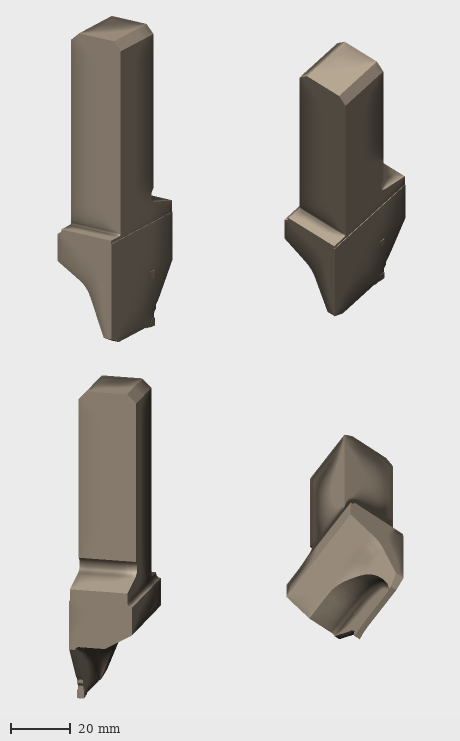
import cadquery as cq
import math

total_height = 107.5
head_length = 37.3
shank_size = 20.0
shank_left = 1.6
shank_front = 5.9
shank_right = shank_left + shank_size
shank_back = shank_front + shank_size
top_chamfer_height = 3.0
top_chamfer_left = 3.2
top_chamfer_right = 2.8

blade_outer_face = 21.8
blade_bottom = 0.8
shoulder_z = 38.4
shoulder_fillet = 0.6
right_step_z = 37.2
groove_radius = 1.6
groove_top_z = 38.1
groove_lip_width = 0.5
head_left_top_z = 36.4
head_lower_z = 26.8
underside_angle = 30.0
flank_angle = 22.0
flank_foot_x = 19.9
underside_blend = 10.0

back_corner_top_z = 41.3
notch_start_z = 49.1
notch_deepest = (24.6, 46.8)
notch_end = (26.9, 44.0)
back_corner_low_z = 20.2
back_bevel = (28.8, 8.7)
front_bevel_length = 4.3
front_bevel_top_z = 3.0

scoop_radius = 21.2
scoop_center_z = 0.1
scoop_fillet = 1.5
blade_inner_face = 19.9

insert_height = 19.9
insert_front = 21.5
insert_back = shank_back
end_relief = 0.3
tab_depth = 1.1
tab_root_half = 5.5
tab_tip_half = 4.3
tip_height = 2.9
tip_flat = 1.5
tip_width = 2.5
tip_right_overhang = 0.3
tip_left_overhang = 0.1


def head_profile():
    """Shank and head outline in XZ, extruded over the whole length in Y."""
    underside_slope = math.tan(math.radians(underside_angle))
    flank_slope = math.tan(math.radians(flank_angle))
    meet_z = (head_lower_z - underside_slope * flank_foot_x) / (1 - underside_slope * flank_slope)
    meet_x = flank_foot_x - flank_slope * meet_z
    groove_center_x = shank_left - groove_radius
    groove_sweep = math.acos((groove_lip_width - groove_center_x) / groove_radius)
    lip_z = groove_top_z - groove_radius * math.sin(groove_sweep)
    groove_middle = (
        groove_center_x + groove_radius * math.cos(groove_sweep / 2),
        groove_top_z - groove_radius * math.sin(groove_sweep / 2),
    )
    bottom_x = flank_foot_x - flank_slope * blade_bottom
    body = (
        cq.Workplane("XZ")
        .moveTo(shank_left + top_chamfer_left, total_height)
        .lineTo(shank_right - top_chamfer_right, total_height)
        .lineTo(shank_right, total_height - top_chamfer_height)
        .lineTo(shank_right, right_step_z)
        .lineTo(blade_outer_face, right_step_z)
        .lineTo(blade_outer_face, blade_bottom)
        .lineTo(bottom_x, blade_bottom)
        .lineTo(meet_x, meet_z)
        .lineTo(0, head_lower_z)
        .lineTo(0, head_left_top_z)
        .lineTo(groove_lip_width, lip_z)
        .threePointArc(groove_middle, (shank_left, groove_top_z))
        .lineTo(shank_left, total_height - top_chamfer_height)
        .close()
        .extrude(-head_length)
    )
    meeting_edge = cq.selectors.NearestToPointSelector((meet_x, head_length / 2, meet_z))
    return body.edges(meeting_edge).fillet(underside_blend)


def side_profile():
    """Shank and head outline in YZ, extruded over the whole width in X."""
    bevel_y, bevel_z = back_bevel
    fillet_shift = shoulder_fillet * (1 - math.sqrt(0.5))
    return (
        cq.Workplane("YZ")
        .moveTo(shank_front, total_height)
        .lineTo(shank_back, total_height)
        .lineTo(shank_back, notch_start_z)
        .threePointArc(notch_deepest, notch_end)
        .lineTo(head_length, back_corner_top_z)
        .lineTo(head_length, back_corner_low_z)
        .lineTo(bevel_y, bevel_z)
        .lineTo(insert_back, bevel_z - (bevel_y - insert_back))
        .lineTo(insert_back, blade_bottom)
        .lineTo(front_bevel_length, blade_bottom)
        .lineTo(0, front_bevel_top_z)
        .lineTo(0, shoulder_z)
        .lineTo(shank_front - shoulder_fillet, shoulder_z)
        .threePointArc(
            (shank_front - fillet_shift, shoulder_z + fillet_shift),
            (shank_front, shoulder_z + shoulder_fillet),
        )
        .close()
        .extrude(blade_outer_face)
    )


def scoop():
    """Clearance removed from the -X side: quarter round in front, straight towards +Y."""
    scoop_top = scoop_center_z + scoop_radius
    rounding = scoop_radius * math.sqrt(0.5)
    front = shank_back - scoop_radius
    back = head_length + scoop_fillet
    bottom = -scoop_radius
    return (
        cq.Workplane("YZ")
        .moveTo(back, bottom)
        .lineTo(back, scoop_top)
        .lineTo(shank_back, scoop_top)
        .threePointArc((shank_back - rounding, scoop_center_z + rounding), (front, scoop_center_z))
        .lineTo(front, bottom)
        .close()
        .extrude(blade_inner_face)
        .faces(">X")
        .edges()
        .fillet(scoop_fillet)
    )


def make_tip():
    """Upper cutting tip: a wedge widest at its +Y cutting edge, relieved towards -Y."""
    tip_bottom = insert_height - tip_height
    outline = (
        cq.Workplane("YZ")
        .polyline([
            (insert_back, tip_bottom),
            (insert_back - tip_flat, tip_bottom),
            (insert_back - tip_width, insert_height),
            (insert_back, insert_height),
        ])
        .close()
        .extrude(blade_outer_face + tip_right_overhang)
    )
    wedge = (
        cq.Workplane("XY")
        .polyline([
            (blade_inner_face - tip_left_overhang, insert_back),
            (blade_outer_face + tip_right_overhang, insert_back),
            (blade_outer_face, insert_back - tip_width),
            (blade_inner_face, insert_back - tip_width),
        ])
        .close()
        .extrude(insert_height)
    )
    return outline.intersect(wedge)


def make_insert():
    """Double-ended insert, the same at its upper and lower end."""
    middle = insert_height / 2
    plate = (
        cq.Workplane("YZ", origin=(blade_inner_face, 0, 0))
        .polyline([
            (insert_front, end_relief),
            (insert_back, end_relief),
            (insert_back, middle - tab_root_half),
            (insert_back + tab_depth, middle - tab_tip_half),
            (insert_back + tab_depth, middle + tab_tip_half),
            (insert_back, middle + tab_root_half),
            (insert_back, insert_height - end_relief),
            (insert_front, insert_height - end_relief),
        ])
        .close()
        .extrude(blade_outer_face - blade_inner_face)
    )
    upper_tip = make_tip()
    lower_tip = upper_tip.mirror("XY", (0, 0, middle))
    return plate.union(upper_tip).union(lower_tip)


insert = make_insert()
holder = head_profile().intersect(side_profile()).cut(scoop()).cut(insert)

result = cq.Compound.makeCompound([holder.solids().val(), insert.solids().val()])